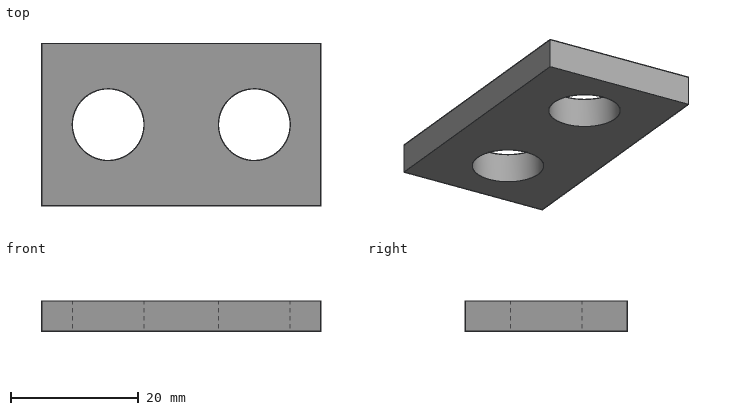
import cadquery as cq

plate_length = 43.69
plate_width = 25.4
plate_thickness = 4.75

hole_diameter = 11.18
hole_spacing = 22.86


def make_plate():
    """Flat rectangular plate, centred on the origin."""
    return cq.Workplane("XY").box(plate_length, plate_width, plate_thickness)


def drill_holes(plate):
    """Drill both holes through the plate, placed evenly about its middle."""
    hole_centers = [(-hole_spacing / 2, 0), (hole_spacing / 2, 0)]
    return plate.faces(">Z").workplane().pushPoints(hole_centers).hole(hole_diameter)


result = drill_holes(make_plate())